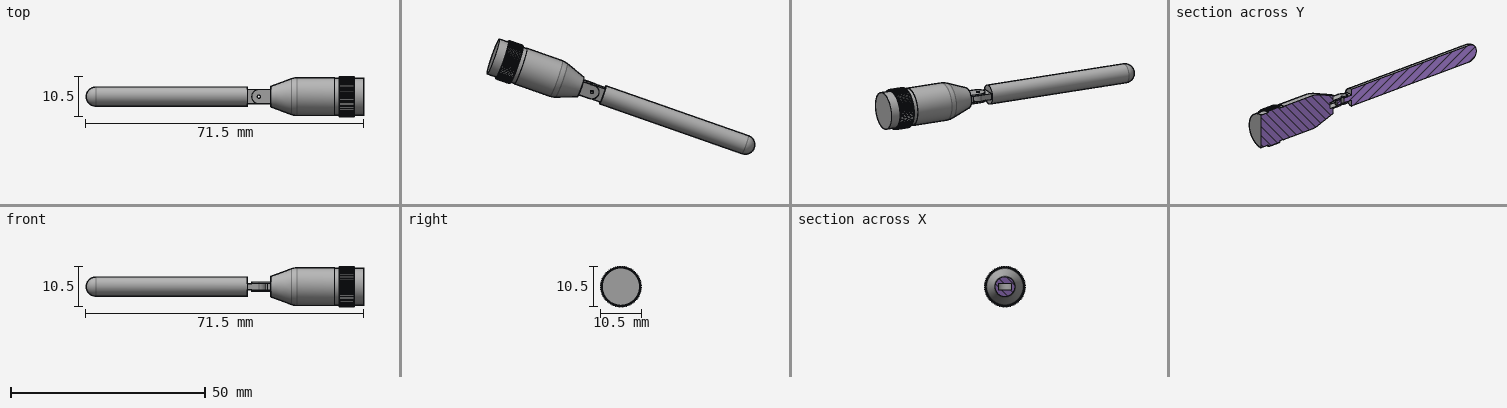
import cadquery as cq
import math


hinge_radius = 1.85
hinge_hole_diameter = 0.8
tongue_thickness = 1.6
fork_thickness = 2.4
hinge_reach = 3.0
tongue_clearance = 0.3
slot_round_x = hinge_radius + tongue_clearance

rod_radius = 2.5
rod_tip_x = -44.49

housing_end_x = 27.0
barrel_radius = 4.9
barrel_end_x = 19.5
rear_radius = 4.8
nose_radius = 2.65
nose_fillet_radius = 0.3
cone_end_x = 9.05
shoulder_fillet_radius = 4.0

ring_start_x = 20.6
ring_end_x = 24.6
ring_tip_radius = 5.25
ring_root_radius = 4.95
ring_chamfer = 0.2
tooth_count = 70


def hinge_lug(thickness, direction):
    """Flat lug with a rounded end at the hinge, reaching along X in the given direction."""
    reach = direction * hinge_reach
    return (
        cq.Workplane("XY")
        .moveTo(reach, -hinge_radius)
        .lineTo(0, -hinge_radius)
        .threePointArc((-direction * hinge_radius, 0), (0, hinge_radius))
        .lineTo(reach, hinge_radius)
        .close()
        .extrude(thickness / 2, both=True)
    )


def hinge_hole():
    """Through hole along Z that the hinge turns on."""
    return cq.Workplane("XY").circle(hinge_hole_diameter / 2).extrude(fork_thickness, both=True)


def make_rod():
    """Round rod with a hemispherical tip and a hinge tongue."""
    dome_x = rod_tip_x + rod_radius
    dome_middle = rod_radius * math.sqrt(0.5)
    shaft = (
        cq.Workplane("XY")
        .moveTo(rod_tip_x, 0)
        .threePointArc((dome_x - dome_middle, dome_middle), (dome_x, rod_radius))
        .lineTo(-hinge_reach, rod_radius)
        .lineTo(-hinge_reach, 0)
        .close()
        .revolve(360, (0, 0, 0), (1, 0, 0))
    )
    return shaft.union(hinge_lug(tongue_thickness, -1)).cut(hinge_hole())


def fork_slot():
    """Slot that clears the tongue, with a round end of the fork's full width inside the nose."""
    mouth = (
        cq.Workplane("XY")
        .rect(2 * slot_round_x, 4 * hinge_radius)
        .extrude(tongue_thickness / 2, both=True)
    )
    round_end = (
        cq.Workplane("XY")
        .center(slot_round_x, 0)
        .circle(hinge_radius)
        .extrude(tongue_thickness / 2, both=True)
    )
    return mouth.union(round_end)


def circle_at(x):
    """Selector for the circular edge of the housing at the given X."""
    near = 0.01
    reach = 2 * barrel_radius
    return cq.selectors.BoxSelector((x - near, -reach, -reach), (x + near, reach, reach), boundingbox=True)


def make_housing_body():
    """Barrel with a conical nose, rounded at its tip and blended into the barrel."""
    body = (
        cq.Workplane("XY")
        .moveTo(hinge_reach, 0)
        .lineTo(hinge_reach, nose_radius)
        .lineTo(cone_end_x, barrel_radius)
        .lineTo(barrel_end_x, barrel_radius)
        .lineTo(barrel_end_x, rear_radius)
        .lineTo(housing_end_x, rear_radius)
        .lineTo(housing_end_x, 0)
        .close()
        .revolve(360, (0, 0, 0), (1, 0, 0))
    )
    body = body.edges(circle_at(cone_end_x)).fillet(shoulder_fillet_radius)
    return body.edges(circle_at(hinge_reach)).fillet(nose_fillet_radius)


def make_knurled_ring():
    """Ring of pointed axial teeth, with chamfered ends."""
    half_pitch = math.pi / tooth_count
    points = []
    for index in range(2 * tooth_count):
        radius = ring_tip_radius if index % 2 == 0 else ring_root_radius
        angle = index * half_pitch
        points.append((radius * math.sin(angle), radius * math.cos(angle)))
    length = ring_end_x - ring_start_x
    teeth = cq.Workplane("YZ", origin=(ring_start_x, 0, 0)).polyline(points).close().extrude(length)
    envelope = (
        cq.Workplane("YZ", origin=(ring_start_x, 0, 0))
        .circle(ring_tip_radius)
        .extrude(length)
        .faces("<X or >X")
        .chamfer(ring_chamfer)
    )
    return teeth.intersect(envelope)


def make_housing():
    """Barrel with its hinge fork and knurled ring."""
    solid = make_housing_body().union(hinge_lug(fork_thickness, 1)).union(make_knurled_ring())
    return solid.cut(fork_slot()).cut(hinge_hole())


rod = make_rod()
housing = make_housing()

result = cq.Compound.makeCompound([rod.solids().val(), housing.solids().val()])